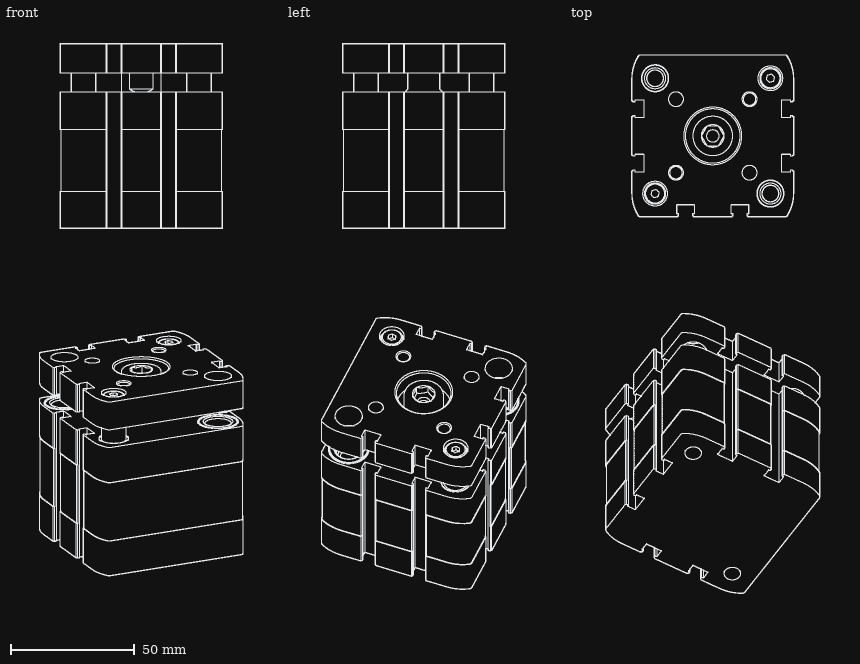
import cadquery as cq
import math

SIDE = 65.5
TOTAL_HEIGHT = 74.7
HOUSING_HEIGHT = 55.1
PLATE_THICKNESS = 11.95
PLATE_BOTTOM = TOTAL_HEIGHT - PLATE_THICKNESS
BARREL_BOTTOM = 14.95
BARREL_TOP = 40.0
BARREL_INSET = 0.2

SIDE_ARC_START = 23.15
SIDE_ARC_RADIUS = 17.5
PLATE_CORNER_RADIUS = 1.0
COVER_CORNER_RADIUS = 1.5

SLOT_OFFSET = 11.0
SLOT_MOUTH_WIDTH = 5.5
SLOT_INNER_WIDTH = 7.0
SLOT_DEPTH = 4.9
SLOT_LIP_THICKNESS = 1.35
SLOT_LIP_RADIUS = 0.45

GUIDE_OFFSET = 23.3
ROD_POSITIONS = [(GUIDE_OFFSET, GUIDE_OFFSET), (-GUIDE_OFFSET, -GUIDE_OFFSET)]
OPEN_BORE_POSITIONS = [(-GUIDE_OFFSET, GUIDE_OFFSET), (GUIDE_OFFSET, -GUIDE_OFFSET)]
ROD_DIAMETER = 10.0
ROD_HEAD_DIAMETER = 8.6
ROD_HEAD_RECESS = 0.7
ROD_HEAD_HEIGHT = 1.9
ROD_HEAD_CHAMFER = 0.45
ROD_SOCKET_WIDTH = 3.0
ROD_SOCKET_DEPTH = 2.25
ROD_SOCKET_ANGLE = -45.0
ROD_BOTTOM = BARREL_BOTTOM

ROD_COUNTERBORE = 12.0
ROD_COUNTERBORE_DEPTH = 0.45

GROOVE_OUTER = 16.4
GROOVE_INNER = 15.5
GROOVE_DEPTH = 0.45
OPEN_BORE = 10.6
OPEN_BORE_MOUTH = 12.0
OPEN_BORE_DEPTH = 4.0
THROUGH_HOLE = 6.65
THROUGH_HOLE_MOUTH = 8.5

PISTON_DIAMETER = 16.0
PISTON_TOP = TOTAL_HEIGHT - 1.2
PISTON_END_RADIUS = 1.0
PISTON_FLAT_WIDTH = 13.0
PISTON_FLAT_BOTTOM = HOUSING_HEIGHT + 1.1
PISTON_BOTTOM = BARREL_BOTTOM
HEX_WIDTH = 8.0
HEX_MOUTH = 9.2
HEX_DEPTH = 3.5
PILOT_DIAMETER = 5.0
PILOT_DEPTH = 6.7
DRILL_POINT_ANGLE = 118.0

POCKET_DIAMETER = 22.0
POCKET_CHAMFER = 0.7
POCKET_DEPTH = 8.0
ACCESS_HOLE = 11.0
FIXING_OFFSET = 14.9
PLAIN_FIXING_HOLE = 6.0
THREADED_FIXING_HOLE = 5.0


def cylinder(diameter, bottom, top, at=(0, 0)):
    return cq.Workplane("XY", origin=(*at, bottom)).circle(diameter / 2).extrude(top - bottom)


def hexagon(width, bottom, top, at=(0, 0), angle=0.0):
    prism = (
        cq.Workplane("XY")
        .polygon(6, width / math.cos(math.pi / 6))
        .extrude(top - bottom)
    )
    return prism.rotate((0, 0, 0), (0, 0, 1), angle).translate((*at, bottom))


def countersink(mouth, bore, top, at=(0, 0)):
    """45 degree cone that opens from bore to mouth at height top."""
    depth = (mouth - bore) / 2
    return (
        cq.Workplane("XY", origin=(*at, top))
        .circle(mouth / 2)
        .workplane(offset=-depth)
        .circle(bore / 2)
        .loft()
    )


def block(inset, corner_radius, bottom, top):
    """Square block whose left and right sides curve in towards the four corners."""
    half = SIDE / 2 - inset
    arc_rise = half - SIDE_ARC_START
    arc_sweep = SIDE_ARC_RADIUS - math.sqrt(SIDE_ARC_RADIUS**2 - arc_rise**2)
    corner_x = half - arc_sweep
    outline = (
        cq.Workplane("XY", origin=(0, 0, bottom))
        .moveTo(-corner_x, -half)
        .lineTo(corner_x, -half)
        .radiusArc((half, -SIDE_ARC_START), -SIDE_ARC_RADIUS)
        .lineTo(half, SIDE_ARC_START)
        .radiusArc((corner_x, half), -SIDE_ARC_RADIUS)
        .lineTo(-corner_x, half)
        .radiusArc((-half, SIDE_ARC_START), -SIDE_ARC_RADIUS)
        .lineTo(-half, -SIDE_ARC_START)
        .radiusArc((-corner_x, -half), -SIDE_ARC_RADIUS)
        .close()
    )
    solid = outline.extrude(top - bottom)
    return solid.edges("|Z").edges("<Y or >Y").fillet(corner_radius)


def cut_slots(body, inset, bottom, top):
    """T-slots, two on each of the front, left and right faces, with rounded lips."""
    face = -SIDE / 2 + inset
    mouth = SLOT_MOUTH_WIDTH / 2
    inner = SLOT_INNER_WIDTH / 2
    lip_top = -SIDE / 2 + SLOT_LIP_THICKNESS
    floor = -SIDE / 2 + SLOT_DEPTH
    slot = (
        cq.Workplane("XY", origin=(0, 0, bottom))
        .moveTo(-mouth - SLOT_LIP_RADIUS, face)
        .radiusArc((-mouth, face + SLOT_LIP_RADIUS), SLOT_LIP_RADIUS)
        .lineTo(-mouth, lip_top)
        .lineTo(-inner, lip_top)
        .lineTo(-inner, floor)
        .lineTo(inner, floor)
        .lineTo(inner, lip_top)
        .lineTo(mouth, lip_top)
        .lineTo(mouth, face + SLOT_LIP_RADIUS)
        .radiusArc((mouth + SLOT_LIP_RADIUS, face), SLOT_LIP_RADIUS)
        .close()
        .extrude(top - bottom)
    )
    for face_angle in (-90, 0, 90):
        for offset in (-SLOT_OFFSET, SLOT_OFFSET):
            body = body.cut(slot.translate((offset, 0, 0)).rotate((0, 0, 0), (0, 0, 1), face_angle))
    return body


def slotted_block(inset, corner_radius, bottom, top):
    return cut_slots(block(inset, corner_radius, bottom, top), inset, bottom, top)


def cut_rod_bore(body, at):
    """Close-fitting blind bore with a shallow counterbore round the rod."""
    body = body.cut(cylinder(ROD_DIAMETER, ROD_BOTTOM, HOUSING_HEIGHT, at))
    counterbore_floor = HOUSING_HEIGHT - ROD_COUNTERBORE_DEPTH
    return body.cut(cylinder(ROD_COUNTERBORE, counterbore_floor, HOUSING_HEIGHT, at))


def cut_open_bore(body, at):
    """Chamfered bore inside a ring groove, with a chamfered through hole in its floor."""
    groove_floor = HOUSING_HEIGHT - GROOVE_DEPTH
    bore_floor = HOUSING_HEIGHT - OPEN_BORE_DEPTH
    groove = cylinder(GROOVE_OUTER, groove_floor, HOUSING_HEIGHT, at)
    groove = groove.cut(cylinder(GROOVE_INNER, groove_floor, HOUSING_HEIGHT, at))
    body = body.cut(groove)
    body = body.cut(cylinder(OPEN_BORE, bore_floor, HOUSING_HEIGHT, at))
    body = body.cut(countersink(OPEN_BORE_MOUTH, OPEN_BORE, HOUSING_HEIGHT, at))
    body = body.cut(cylinder(THROUGH_HOLE, 0, bore_floor, at))
    return body.cut(countersink(THROUGH_HOLE_MOUTH, THROUGH_HOLE, bore_floor, at))


def make_housing():
    """Lower cover, barrel and upper cover with the bores for the three rods."""
    lower_cover = slotted_block(0, COVER_CORNER_RADIUS, 0, BARREL_BOTTOM)
    barrel = slotted_block(BARREL_INSET, COVER_CORNER_RADIUS, BARREL_BOTTOM, BARREL_TOP)
    upper_cover = slotted_block(0, COVER_CORNER_RADIUS, BARREL_TOP, HOUSING_HEIGHT)
    housing = lower_cover.union(barrel).union(upper_cover)
    housing = housing.cut(cylinder(PISTON_DIAMETER, PISTON_BOTTOM, HOUSING_HEIGHT))
    for at in ROD_POSITIONS:
        housing = cut_rod_bore(housing, at)
    for at in OPEN_BORE_POSITIONS:
        housing = cut_open_bore(housing, at)
    return housing


def make_plate():
    """Slotted plate with its rod holes, central pocket, access holes and fixing holes."""
    plate = slotted_block(0, PLATE_CORNER_RADIUS, PLATE_BOTTOM, TOTAL_HEIGHT)
    pocket = cylinder(POCKET_DIAMETER, TOTAL_HEIGHT - POCKET_DEPTH, TOTAL_HEIGHT)
    pocket_mouth = POCKET_DIAMETER + 2 * POCKET_CHAMFER
    plate = plate.cut(cylinder(PISTON_DIAMETER, PLATE_BOTTOM, TOTAL_HEIGHT))
    plate = plate.cut(pocket).cut(countersink(pocket_mouth, POCKET_DIAMETER, TOTAL_HEIGHT))
    for at in ROD_POSITIONS:
        plate = plate.cut(cylinder(ROD_DIAMETER, PLATE_BOTTOM, TOTAL_HEIGHT, at))
    for at in OPEN_BORE_POSITIONS:
        plate = plate.cut(cylinder(ACCESS_HOLE, PLATE_BOTTOM, TOTAL_HEIGHT, at))
    for side in (-1, 1):
        plain = (side * FIXING_OFFSET, -side * FIXING_OFFSET)
        threaded = (side * FIXING_OFFSET, side * FIXING_OFFSET)
        plate = plate.cut(cylinder(PLAIN_FIXING_HOLE, PLATE_BOTTOM, TOTAL_HEIGHT, plain))
        plate = plate.cut(cylinder(THREADED_FIXING_HOLE, PLATE_BOTTOM, TOTAL_HEIGHT, threaded))
        plate = plate.cut(countersink(PLAIN_FIXING_HOLE, THREADED_FIXING_HOLE, TOTAL_HEIGHT, threaded))
    return plate


def make_guide_rod(at):
    """Rod with a narrower chamfered head that carries a small hex socket."""
    top = TOTAL_HEIGHT - ROD_HEAD_RECESS
    shoulder = top - ROD_HEAD_HEIGHT
    head = cylinder(ROD_HEAD_DIAMETER, shoulder, top, at).faces(">Z").chamfer(ROD_HEAD_CHAMFER)
    rod = cylinder(ROD_DIAMETER, ROD_BOTTOM, shoulder, at).union(head)
    return rod.cut(hexagon(ROD_SOCKET_WIDTH, top - ROD_SOCKET_DEPTH, top, at, ROD_SOCKET_ANGLE))


def make_hex_socket():
    """Countersunk hexagon with a conical floor and a pointed pilot hole below it."""
    slope = 1 / math.tan(math.radians(DRILL_POINT_ANGLE / 2))
    hex_radius = HEX_WIDTH / 2 / math.cos(math.pi / 6)
    pilot_radius = PILOT_DIAMETER / 2
    floor_z = PISTON_TOP - HEX_DEPTH
    pilot_z = PISTON_TOP - PILOT_DEPTH
    envelope = (
        cq.Workplane("XZ")
        .moveTo(0, PISTON_TOP)
        .lineTo(hex_radius, PISTON_TOP)
        .lineTo(hex_radius, floor_z)
        .lineTo(pilot_radius, floor_z - (hex_radius - pilot_radius) * slope)
        .lineTo(pilot_radius, pilot_z)
        .lineTo(0, pilot_z - pilot_radius * slope)
        .close()
        .revolve(360, (0, 0), (0, 1))
    )
    socket = hexagon(HEX_WIDTH, PISTON_BOTTOM, PISTON_TOP).intersect(envelope)
    return socket.union(countersink(HEX_MOUTH, HEX_WIDTH, PISTON_TOP))


def make_piston_rod():
    """Rod with two wrench flats that run out at 45 degrees and a hex socket in its rounded end."""
    rod = cylinder(PISTON_DIAMETER, PISTON_BOTTOM, PISTON_TOP)
    rod = rod.faces(">Z").edges().fillet(PISTON_END_RADIUS)
    flat = PISTON_FLAT_WIDTH / 2
    runout = PISTON_DIAMETER / 2 - flat
    flat_cut = (
        cq.Workplane("YZ")
        .moveTo(flat, PISTON_FLAT_BOTTOM)
        .lineTo(flat, PLATE_BOTTOM)
        .lineTo(flat + runout, PLATE_BOTTOM)
        .lineTo(flat + runout, PISTON_FLAT_BOTTOM - runout)
        .close()
        .extrude(PISTON_DIAMETER / 2, both=True)
    )
    rod = rod.cut(flat_cut).cut(flat_cut.mirror("XZ"))
    return rod.cut(make_hex_socket())


def make_yoke():
    """Plate joined with the piston rod and the two guide rods."""
    yoke = make_plate().union(make_piston_rod())
    for at in ROD_POSITIONS:
        yoke = yoke.union(make_guide_rod(at))
    return yoke


housing = make_housing()
yoke = make_yoke()
result = cq.Compound.makeCompound([housing.val(), yoke.val()])